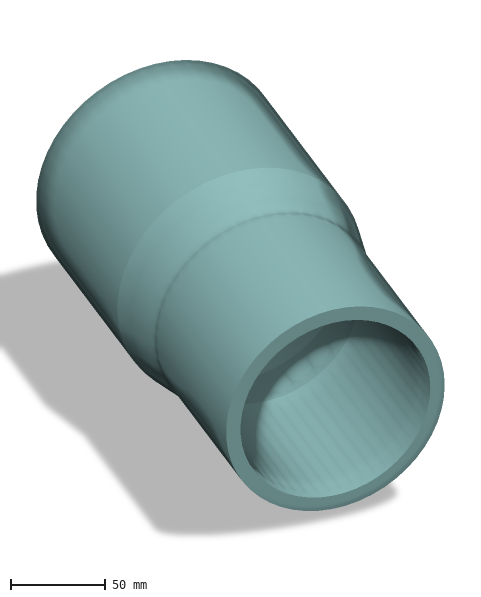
import cadquery as cq

total_length = 250.0
large_length = 115.0
small_length = 100.0
taper_end = total_length - small_length

large_outer_diameter = 140.0
large_bore_diameter = 123.5
small_outer_diameter = 125.0
small_bore_diameter = 108.5


def stepped_body(large_diameter, small_diameter):
    """Solid of revolution: large cylinder, cone, small cylinder."""
    large_radius = large_diameter / 2
    small_radius = small_diameter / 2
    return (
        cq.Workplane("XY")
        .moveTo(0, 0)
        .lineTo(0, large_radius)
        .lineTo(large_length, large_radius)
        .lineTo(taper_end, small_radius)
        .lineTo(total_length, small_radius)
        .lineTo(total_length, 0)
        .close()
        .revolve(360, (0, 0, 0), (1, 0, 0))
    )


outer_body = stepped_body(large_outer_diameter, small_outer_diameter)
bore = stepped_body(large_bore_diameter, small_bore_diameter)
result = outer_body.cut(bore)